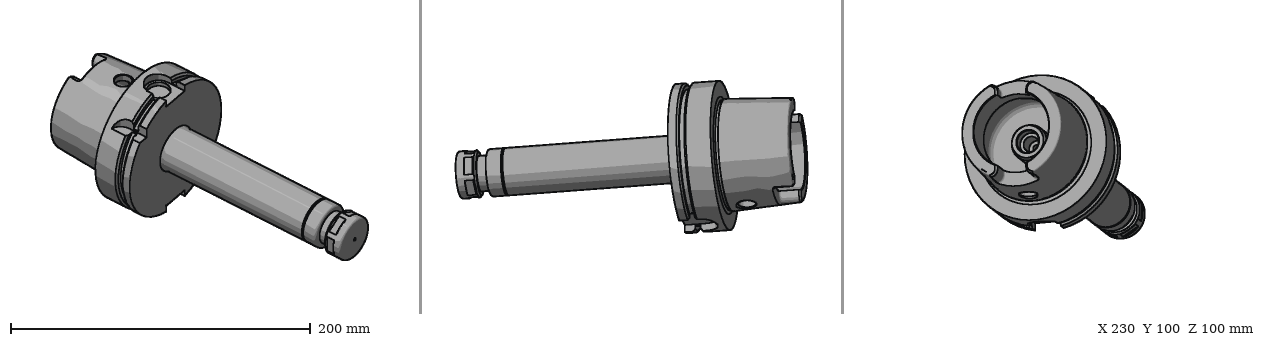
import cadquery as cq
import math


total_length = 230.0
taper_length = 50.0
nose_end = total_length - taper_length

taper_large_radius = 37.7
taper_small_radius = 35.0
taper_edge_round = 1.5
relief_start = -2.8
relief_end = -1.0
relief_depth = 0.7
relief_flare_radius = 39.3

flange_radius = 100.0 / 2
flange_width = 29.0
groove_center = 20.0
groove_bottom_width = 3.7
groove_bottom_radius = 45.8
groove_chamfer_width = 1.4
groove_chamfer_depth = 1.5

shank_radius = 32.0 / 2
root_length = 2.8
root_height = 1.0
ring_groove_start = 147.7
ring_groove_width = 1.4
ring_groove_depth = 0.2
shank_end = 159.6
shank_end_round = 2.0

neck_radius = 24.0 / 2
nut_start = 166.0
nut_rear_chamfer = 1.4
nut_front_round = 2.0
flat_count = 6
flat_distance = 14.7
flat_start = 168.4
flat_end = 174.0

bore_radius = 26.5
bore_mouth_chamfer = 0.5
throat_x = -29.5
undercut_start = -24.2
undercut_radius = 31.5
bore_floor = 0.0
bore_floor_round = 7.0
boss_end = -15.9
boss_radius = 24.5 / 2
boss_chamfer_length = 3.0
boss_chamfer_height = 1.2

hole_steps = [(15.5, 7.0), (10.5, 18.5), (5.0, 46.0)]
through_hole_diameter = 2.0
hole_mouth_chamfer = 0.5

slot_width = 20.0
drive_slot_depth_top = 10.0
drive_slot_depth_bottom = 14.7
drive_flare_height = 27.0
drive_flare_radius = 5.0
drive_floor_round = 2.0
drive_mouth_chamfer = 1.4
cross_hole_diameter = 12.0
cross_hole_x = -15.2
countersink_start = 36.0

flange_slot_x = 14.7
flange_slot_floor = 44.0
chip_hole_diameter = 16.0
chip_hole_depth = 3.2
notch_wall = 31.5
notch_floor = 31.5


def revolve_about_axis(profile):
    """Turn a closed (X, radius) profile around the X axis."""
    return profile.close().revolve(360, (0, 0, 0), (1, 0, 0))


def tangent_arc_mid(center_x, center_r, radius):
    """Middle of the outer quarter arc that faces +X and away from the axis."""
    reach = radius * math.sin(math.radians(45))
    return (center_x + reach, center_r + reach)


def make_body():
    groove_half = groove_bottom_width / 2
    groove_half_top = groove_half + groove_chamfer_width
    groove_lip_radius = flange_radius - groove_chamfer_depth
    ring_middle = ring_groove_start + ring_groove_width / 2
    ring_end = ring_groove_start + ring_groove_width
    shank_round_x = shank_end - shank_end_round
    shank_round_r = shank_radius - shank_end_round
    nut_round_x = nose_end - nut_front_round
    nut_round_r = shank_radius - nut_front_round
    root_radius = (root_length**2 + root_height**2) / (2 * root_height)

    profile = (
        cq.Workplane("XY")
        .moveTo(-taper_length, 0)
        .lineTo(-taper_length, taper_small_radius)
        .lineTo(relief_start, taper_large_radius)
        .lineTo(relief_start, taper_large_radius - relief_depth)
        .lineTo(relief_end, taper_large_radius - relief_depth)
        .lineTo(0, relief_flare_radius)
        .lineTo(0, flange_radius)
        .lineTo(groove_center - groove_half_top, flange_radius)
        .lineTo(groove_center - groove_half, groove_lip_radius)
        .lineTo(groove_center - groove_half, groove_bottom_radius)
        .lineTo(groove_center + groove_half, groove_bottom_radius)
        .lineTo(groove_center + groove_half, groove_lip_radius)
        .lineTo(groove_center + groove_half_top, flange_radius)
        .lineTo(flange_width, flange_radius)
        .lineTo(flange_width, shank_radius + root_height)
        .radiusArc((flange_width + root_length, shank_radius), -root_radius)
        .lineTo(ring_groove_start, shank_radius)
        .lineTo(ring_middle, shank_radius - ring_groove_depth)
        .lineTo(ring_end, shank_radius)
        .lineTo(shank_round_x, shank_radius)
        .threePointArc(
            tangent_arc_mid(shank_round_x, shank_round_r, shank_end_round),
            (shank_end, shank_round_r),
        )
        .lineTo(shank_end, neck_radius)
        .lineTo(nut_start, neck_radius)
        .lineTo(nut_start, shank_radius - nut_rear_chamfer)
        .lineTo(nut_start + nut_rear_chamfer, shank_radius)
        .lineTo(nut_round_x, shank_radius)
        .threePointArc(
            tangent_arc_mid(nut_round_x, nut_round_r, nut_front_round),
            (nose_end, nut_round_r),
        )
        .lineTo(nose_end, 0)
    )
    body = revolve_about_axis(profile)
    return body.faces("<X").edges().fillet(taper_edge_round)


def make_bore():
    """Bore of the taper, widened behind its throat, as the space around the central boss."""
    round_x = bore_floor - bore_floor_round
    round_r = undercut_radius - bore_floor_round
    profile = (
        cq.Workplane("XY")
        .moveTo(-taper_length, 0)
        .lineTo(-taper_length, bore_radius + bore_mouth_chamfer)
        .lineTo(-taper_length + bore_mouth_chamfer, bore_radius)
        .lineTo(throat_x, bore_radius)
        .lineTo(undercut_start, undercut_radius)
        .lineTo(round_x, undercut_radius)
        .threePointArc(
            tangent_arc_mid(round_x, round_r, bore_floor_round),
            (bore_floor, round_r),
        )
        .lineTo(bore_floor, boss_radius)
        .lineTo(boss_end + boss_chamfer_length, boss_radius)
        .lineTo(boss_end, boss_radius - boss_chamfer_height)
        .lineTo(boss_end, 0)
    )
    return revolve_about_axis(profile)


def make_axial_hole():
    """Stepped hole that starts at the boss end and narrows to a through hole."""
    boss_face = cq.Workplane("YZ", origin=(boss_end, 0, 0))
    hole = boss_face.circle(through_hole_diameter / 2).extrude(nose_end - boss_end)
    for diameter, depth in hole_steps:
        mouth = cq.Solid.makeCone(
            diameter / 2 + hole_mouth_chamfer,
            diameter / 2,
            hole_mouth_chamfer,
            cq.Vector(boss_end, 0, 0),
            cq.Vector(1, 0, 0),
        )
        hole = hole.union(boss_face.circle(diameter / 2).extrude(depth)).union(cq.Workplane(mouth))
    return hole


def drive_slot_outline(workplane, offset):
    """Cross-section of a drive slot in Y and Z, widened by the offset.

    The walls are parallel near the bore and curve outwards further out.
    """
    half = slot_width / 2 + offset
    radius = drive_flare_radius - offset
    center_y = slot_width / 2 + drive_flare_radius
    reach = radius * math.sin(math.radians(45))
    arc_mid = (center_y - reach, drive_flare_height + reach)
    arc_end = (center_y, drive_flare_height + radius)
    outside = taper_large_radius + 2.3
    return (
        workplane.moveTo(-half, 0)
        .lineTo(half, 0)
        .lineTo(half, drive_flare_height)
        .threePointArc(arc_mid, arc_end)
        .lineTo(arc_end[0], outside)
        .lineTo(-arc_end[0], outside)
        .lineTo(-arc_end[0], arc_end[1])
        .threePointArc((-arc_mid[0], arc_mid[1]), (-half, drive_flare_height))
        .close()
    )


def make_drive_slot(depth):
    """Drive slot on the +Z side with rounded floor corners and a chamfered mouth."""
    mouth = cq.Workplane("YZ", origin=(-taper_length, 0, 0))
    slot = drive_slot_outline(mouth, 0).extrude(depth)
    slot = slot.faces(">X").edges("not(<Z or >Z)").fillet(drive_floor_round)
    chamfer = drive_slot_outline(mouth, drive_mouth_chamfer)
    chamfer = drive_slot_outline(
        chamfer.workplane(offset=drive_mouth_chamfer, origin=(-taper_length, 0, 0)), 0
    ).loft(ruled=True)
    return slot.union(chamfer)


def make_cross_hole():
    """Radial hole on the +Z side into the bore, with a 90 degree countersink."""
    radius = cross_hole_diameter / 2
    countersink_depth = taper_large_radius - countersink_start
    hole = (
        cq.Workplane("XY", origin=(cross_hole_x, 0, bore_radius))
        .circle(radius)
        .extrude(taper_large_radius - bore_radius)
    )
    countersink = cq.Solid.makeCone(
        radius, radius + countersink_depth, countersink_depth, cq.Vector(cross_hole_x, 0, countersink_start)
    )
    return hole.union(cq.Workplane(countersink))


def make_round_end_slot(center_y, floor):
    """Slot that is open towards +X and +Z and has a round end towards -X."""
    half = slot_width / 2
    return (
        cq.Workplane("XY", origin=(0, 0, floor))
        .moveTo(flange_width, center_y - half)
        .lineTo(flange_slot_x, center_y - half)
        .threePointArc((flange_slot_x - half, center_y), (flange_slot_x, center_y + half))
        .lineTo(flange_width, center_y + half)
        .close()
        .extrude(flange_radius - floor)
    )


def make_nut_flat():
    """Cut for one wrench flat on the +Z side, with a sloped rear wall."""
    depth = shank_radius - flat_distance
    return (
        cq.Workplane("XZ")
        .moveTo(flat_start, flat_distance)
        .lineTo(flat_end, flat_distance)
        .lineTo(flat_end, shank_radius)
        .lineTo(flat_start - depth, shank_radius)
        .close()
        .extrude(shank_radius, both=True)
    )


def turned(shape, angle):
    return shape.rotate((0, 0, 0), (1, 0, 0), angle)


result = make_body().cut(make_bore()).cut(make_axial_hole())

result = result.cut(make_drive_slot(drive_slot_depth_top))
result = result.cut(turned(make_drive_slot(drive_slot_depth_bottom), 180))
for side_angle in (0, 180):
    result = result.cut(turned(make_cross_hole(), side_angle))

flange_slot = make_round_end_slot(0, flange_slot_floor)
for side_angle in (0, 180):
    result = result.cut(turned(flange_slot, side_angle))
chip_hole = (
    cq.Workplane("XY", origin=(flange_slot_x, 0, flange_slot_floor))
    .circle(chip_hole_diameter / 2)
    .extrude(-chip_hole_depth)
)
result = result.cut(chip_hole)
result = result.cut(make_round_end_slot(-notch_wall - slot_width / 2, notch_floor))

for index in range(flat_count):
    result = result.cut(turned(make_nut_flat(), 90 + index * 360 / flat_count))